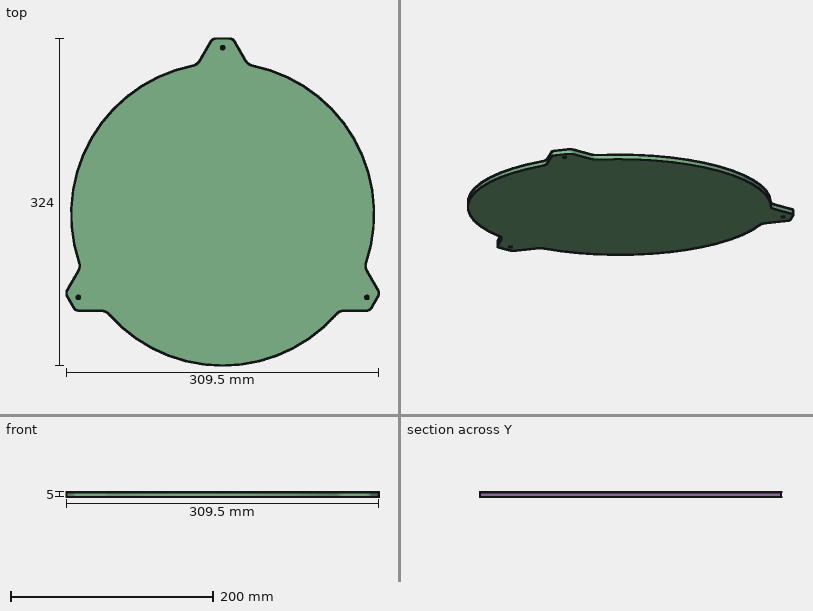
import cadquery as cq
import math

overall_length = 324.0
thickness = 5.0
disc_radius = 150.0
tab_reach = overall_length - disc_radius

tab_count = 3
first_tab_angle = 90.0
tab_end_width = 20.0
tab_flank_angle = 60.0
tab_corner_radius = 6.0
tab_root_radius = 10.0

hole_diameter = 3.0
hole_circle_radius = 165.0

tab_angles = [first_tab_angle + i * 360.0 / tab_count for i in range(tab_count)]


def make_tab(angle):
    """Trapezoid widening inward from its flat end, with rounded outer corners."""
    inner_reach = disc_radius / 2
    outer_half = tab_end_width / 2
    flank_spread = (tab_reach - inner_reach) / math.tan(math.radians(tab_flank_angle))
    inner_half = outer_half + flank_spread
    return (
        cq.Workplane("XY")
        .moveTo(inner_reach, -inner_half)
        .lineTo(tab_reach, -outer_half)
        .lineTo(tab_reach, outer_half)
        .lineTo(inner_reach, inner_half)
        .close()
        .extrude(thickness)
        .edges("|Z and >X")
        .fillet(tab_corner_radius)
        .rotate((0, 0, 0), (0, 0, 1), angle)
    )


def is_tab_root(edge):
    """True for an edge where a tab flank meets the disc rim, but not for the rim's own seam at y = 0."""
    tolerance = 0.03
    centre = edge.Center()
    on_rim = abs(math.hypot(centre.x, centre.y) - disc_radius) < tolerance
    on_seam = abs(centre.y) < tolerance
    return on_rim and not on_seam


plate = cq.Workplane("XY").circle(disc_radius).extrude(thickness)
for tab_angle in tab_angles:
    plate = plate.union(make_tab(tab_angle))
plate = plate.edges("|Z").filter(is_tab_root).fillet(tab_root_radius)

hole_points = [
    (
        hole_circle_radius * math.cos(math.radians(tab_angle)),
        hole_circle_radius * math.sin(math.radians(tab_angle)),
    )
    for tab_angle in tab_angles
]
holes = cq.Workplane("XY").pushPoints(hole_points).circle(hole_diameter / 2).extrude(thickness)

result = plate.cut(holes)